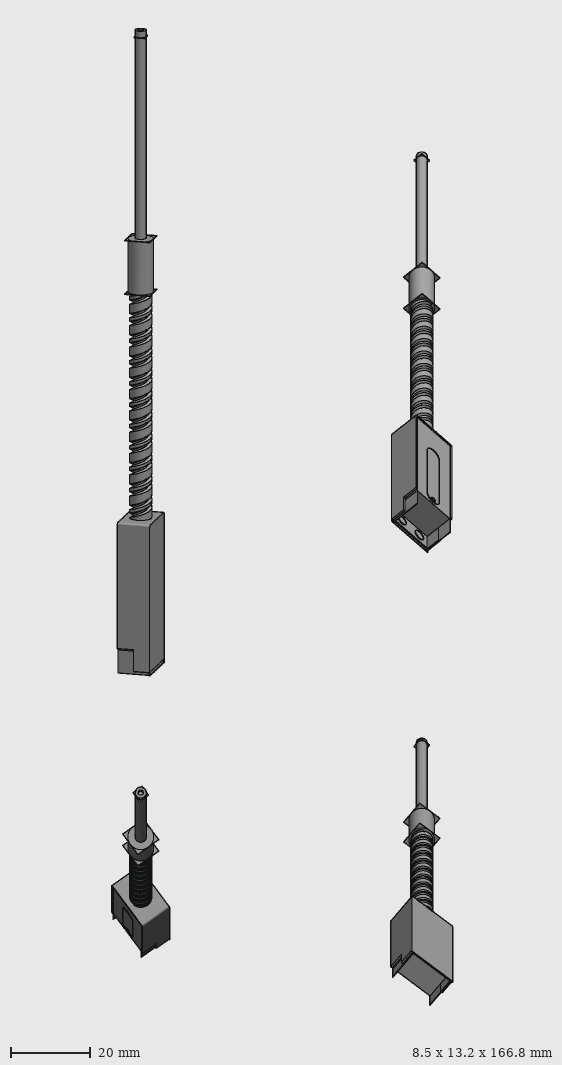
import cadquery as cq
total_height = 166.8
housing_top = 39.4
sleeve_bottom = 98.3
sleeve_top = 112.5
tip_bottom = 165.0

housing_x = 8.5
housing_y = 13.2
wall = 0.5
wall_bottom = 0.8
skin = 0.2
panel_recess = 0.2
notch_top = 6.5
floor_bottom = notch_top - wall
half_x = housing_x / 2
inner_y = housing_y - 2 * wall

slot_width = 4.3
slot_bottom = 7.2
slot_top = 30.5
slot_depth = 0.2
mark_diameter = 1.3
mark_height = 8.3

hole_diameter = 3.0
hole_spacing = 6.3
hole_height = 3.8
hole_depth = 0.2

hose_radius = 2.8
hose_core_radius = 2.0
hose_pitch = 5.57
wide_ridge = 2.3
narrow_ridge = 0.8
ridge_taper = 0.42
ridge_overlap = 0.2
ridge_phase = 1.3

sleeve_diameter = 6.5
rod_diameter = 2.8
tip_bore = 1.3
flange_thickness = 0.2


def block(x_range, y_size, z_range):
    """Box between two X values and two Z values, centred on Y."""
    x_size = x_range[1] - x_range[0]
    z_size = z_range[1] - z_range[0]
    return (
        cq.Workplane("XY")
        .box(x_size, y_size, z_size, centered=(False, True, False))
        .translate((x_range[0], 0, z_range[0]))
    )


def cylinder(diameter, bottom, top):
    """Upright cylinder on the Z axis."""
    return cq.Workplane("XY", origin=(0, 0, bottom)).circle(diameter / 2).extrude(top - bottom)


def square_plate(side, bottom):
    """Thin square plate standing on the given height."""
    return cq.Workplane("XY", origin=(0, 0, bottom)).rect(side, side).extrude(flange_thickness)


def make_housing():
    """Box with rounded top edges, open at its lower end and notched towards -X."""
    body = block((-half_x, half_x), housing_y, (wall_bottom, housing_top))
    body = body.edges("|X and >Z").fillet(wall)

    body = body.cut(block((-half_x, -half_x + panel_recess), inner_y, (floor_bottom, housing_top - wall)))

    body = body.cut(block((-half_x, half_x - wall), inner_y, (0, floor_bottom)))
    notch = block((-half_x, 0), housing_y, (0, notch_top))
    floor = block((-half_x, 0), inner_y, (floor_bottom, notch_top))
    body = body.cut(notch.cut(floor))

    for side in (-1, 1):
        lining = block((-half_x, half_x), skin, (0, notch_top))
        body = body.union(lining.translate((0, side * (inner_y - skin) / 2, 0)))

    body = body.union(block((half_x - skin, half_x), housing_y, (0, notch_top)))

    panel = cq.Workplane("YZ", origin=(-half_x + panel_recess, 0, 0))
    slot_length = slot_top - slot_bottom
    slot_centre = (slot_bottom + slot_top) / 2
    slot = panel.center(0, slot_centre).slot2D(slot_length, slot_width, 90).extrude(slot_depth)
    mark = (
        cq.Workplane("YZ", origin=(-half_x + panel_recess, 0, mark_height))
        .circle(mark_diameter / 2)
        .extrude(slot_depth)
    )
    body = body.cut(slot).union(mark)

    holes = (
        cq.Workplane("YZ", origin=(half_x - wall, 0, hole_height))
        .pushPoints([(-hole_spacing / 2, 0), (hole_spacing / 2, 0)])
        .circle(hole_diameter / 2)
        .extrude(hole_depth)
    )
    return body.cut(holes)


def helical_ridge(top_width, bottom, height):
    """Tapered ridge wound on the hose core; its lower end is centred on the given height at +X."""
    root = hose_core_radius - ridge_overlap
    root_width = top_width + 2 * ridge_taper
    path = cq.Workplane(obj=cq.Wire.makeHelix(hose_pitch, height, hose_core_radius))
    profile = cq.Workplane("XZ").polyline([
        (root, -root_width / 2),
        (hose_radius, -top_width / 2),
        (hose_radius, top_width / 2),
        (root, root_width / 2),
    ]).close()
    return profile.sweep(path, isFrenet=True).translate((0, 0, bottom))


def make_hose():
    """Core with a wide and a narrow ridge winding up it side by side, trimmed square at both ends."""
    length = sleeve_bottom - housing_top
    base = cq.Workplane("XY", origin=(0, 0, housing_top))
    hose = base.circle(hose_core_radius).extrude(length)
    envelope = base.circle(2 * hose_radius).extrude(length)
    wound_length = length + 3 * hose_pitch
    start = housing_top - 2 * hose_pitch + ridge_phase
    for top_width, offset in ((wide_ridge, 0), (narrow_ridge, hose_pitch / 2)):
        ridge = helical_ridge(top_width, start + offset, wound_length)
        hose = hose.union(ridge.intersect(envelope))
    return hose


def make_sleeve():
    """Cylinder with a thin square plate at each end."""
    sleeve = cylinder(sleeve_diameter, sleeve_bottom, sleeve_top)
    for plate_bottom in (sleeve_bottom, sleeve_top - flange_thickness):
        sleeve = sleeve.union(square_plate(sleeve_diameter, plate_bottom))
    return sleeve


def make_rod():
    """Plain rod standing on the sleeve."""
    return cylinder(rod_diameter, sleeve_top, tip_bottom)


def make_tip():
    """Bored end piece with a thin square plate at its foot."""
    tip = cylinder(rod_diameter, tip_bottom, total_height)
    tip = tip.union(square_plate(rod_diameter, tip_bottom))
    return tip.cut(cylinder(tip_bore, tip_bottom, total_height))


housing = make_housing()
hose = make_hose()
sleeve = make_sleeve()
rod = make_rod()
tip = make_tip()

result = cq.Compound.makeCompound([housing.val(), hose.val(), sleeve.val(), rod.val(), tip.val()])